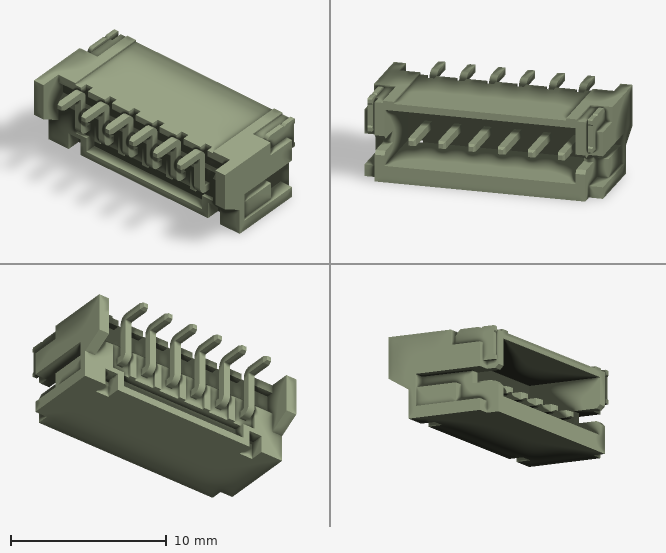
import cadquery as cq


housing_width = 16.0
body_depth = 6.1
ear_depth = 7.58
ear_width = 0.8
ear_slope_top = 2.8
ear_slope_bottom = 1.92
shoulder_z = 5.54
panel_z = 5.4
panel_width = 11.55
half_width = housing_width / 2

cavity_width = 12.8
cavity_depth = 5.2
cavity_floor_z = 1.12
cavity_top_z = 4.93

side_inset = 0.95
back_step_depth = 0.85
slot_bottom_z = 2.06
slot_top_z = 2.9
slot_depth = 1.92
slot_chamfer = 0.24
recess_depth = 5.6
recess_bottom_z = 0.78
latch_start = 2.72
latch_inset = 0.2
side_wall_x = half_width - side_inset

seat_depth = 3.0
seat_z = 4.53
seat_width = 1.49

groove_depth = 5.6
groove_slope_z = 3.84
pin_pocket_depth = 5.8
pin_pocket_width = 1.5
rib_depth = 6.02
pocket_floor_z = 1.57
front_window_width = 9.7
front_window_floor_z = 0.5
front_window_depth = 5.3
foot_notch_offset = 5.84
foot_notch_width = 1.0
foot_notch_height = 1.23
foot_notch_depth = 5.09

pin_count = 6
pin_pitch = 2.0
pin_size = 0.5
pin_tip_size = 0.32
pin_tip_length = 0.3
pin_contact_depth = 1.28
pin_front_depth = 8.6
pin_top_z = 5.6
pin_bottom_z = 2.11
stem_back_depth = 6.27
pin_notch_width = 0.58
pin_inner_radius = 0.08
pin_outer_radius = pin_inner_radius + pin_size

tab_inset = 0.45
tab_thickness = 0.32
tab_depth = 2.9
tab_top_z = pin_top_z
tab_bottom_z = 3.36
tab_bevel_depth = 0.32
tab_bevel_height = 0.45
tab_corner = 0.06
tab_dent_depth = 0.1
tab_dent_bottom_z = 3.73
tab_dent_top_z = 5.17
tab_groove_center = 1.02
tab_groove_half = 0.16
tab_groove_height = 0.1
tab_bevel_radius = 0.27
tab_outer_x = half_width - tab_inset
tab_inner_x = tab_outer_x - tab_thickness

pin_positions = [(i - (pin_count - 1) / 2) * pin_pitch for i in range(pin_count)]


def block(x_span, depth_span, z_span):
    """Box given by its limits in X, depth and Z."""
    x0, x1 = x_span
    d0, d1 = depth_span
    z0, z1 = z_span
    return cq.Workplane("XY").box(x1 - x0, d1 - d0, z1 - z0, centered=False).translate((x0, -d1, z0))


def centered(width, x=0):
    """Limits in X of a feature centred on x."""
    return (x - width / 2, x + width / 2)


def profile(points, x_span):
    """Side outline of (depth, z) points extruded between two X limits."""
    x0, x1 = x_span
    outline = [(-depth, z) for depth, z in points]
    return cq.Workplane("YZ").polyline(outline).close().extrude(x1 - x0).translate((x0, 0, 0))


def both_sides(shape):
    """Shape together with its mirror image across the centre plane X = 0."""
    return shape.union(shape.mirror("YZ"))


def round_edge(shape, depth, z, radius, x=0):
    """Fillet the edge along X whose middle lies at the given x, depth and z."""
    return shape.edges(cq.NearestToPointSelector((x, -depth, z))).fillet(radius)


def housing_shell():
    """Outer body with ears, lowered top panel and mating cavity."""
    shell = block(centered(housing_width), (0, body_depth), (0, shoulder_z))
    ear = profile(
        [
            (body_depth, shoulder_z),
            (ear_depth, shoulder_z),
            (ear_depth, ear_slope_top),
            (body_depth, ear_slope_bottom),
        ],
        (half_width - ear_width, half_width),
    )
    shell = shell.union(both_sides(ear))
    shell = shell.cut(block(centered(panel_width), (0, body_depth), (panel_z, shoulder_z)))
    return shell.cut(block(centered(cavity_width), (0, cavity_depth), (cavity_floor_z, cavity_top_z)))


def side_cuts():
    """Material removed from the +X side wall."""
    outside = (side_wall_x, half_width)
    cuts = block(outside, (0, back_step_depth), (0, shoulder_z))

    recess = block(outside, (0, recess_depth), (recess_bottom_z, slot_top_z))
    latch = block(
        (side_wall_x, half_width - latch_inset),
        (latch_start, recess_depth),
        (recess_bottom_z, slot_bottom_z),
    )
    cuts = cuts.union(recess.cut(latch))

    slot = profile(
        [
            (0, slot_bottom_z - slot_chamfer),
            (slot_chamfer, slot_bottom_z),
            (slot_depth, slot_bottom_z),
            (slot_depth, slot_top_z),
            (slot_chamfer, slot_top_z),
            (0, slot_top_z + slot_chamfer),
        ],
        (cavity_width / 2, half_width),
    )
    cuts = cuts.union(slot)

    cuts = cuts.union(block((tab_inner_x, half_width), (0, seat_depth), (seat_z, shoulder_z)))
    return cuts.union(block((half_width - seat_width, half_width), (0, seat_depth), (panel_z, shoulder_z)))


def front_cuts():
    """Groove, pin pockets, window and notches cut into the front face."""
    slope_drop = body_depth - groove_depth
    cuts = profile(
        [
            (groove_depth, cavity_top_z),
            (body_depth, cavity_top_z),
            (body_depth, groove_slope_z - slope_drop),
            (groove_depth, groove_slope_z),
        ],
        centered(housing_width - 2 * ear_width),
    )
    pin_row_width = (pin_count - 1) * pin_pitch + pin_pocket_width
    cuts = cuts.union(
        block(centered(pin_row_width), (rib_depth, body_depth), (pocket_floor_z, groove_slope_z))
    )
    for x in pin_positions:
        pocket = block(
            centered(pin_pocket_width, x),
            (pin_pocket_depth, body_depth),
            (pocket_floor_z, groove_slope_z),
        )
        notch = block(
            centered(pin_notch_width, x),
            (groove_depth, body_depth),
            (cavity_top_z, panel_z),
        )
        cuts = cuts.union(pocket).union(notch)
    window = block(
        centered(front_window_width),
        (front_window_depth, body_depth),
        (front_window_floor_z, pocket_floor_z),
    )
    foot_notch = block(
        centered(foot_notch_width, foot_notch_offset),
        (foot_notch_depth, body_depth),
        (0, foot_notch_height),
    )
    return cuts.union(window).union(both_sides(foot_notch))


def tapered_tip(base_depth, z, direction):
    """Square pin tip; direction is +1 toward the mating face, -1 away from it."""
    base = cq.Plane(origin=(0, -base_depth, z), xDir=(1, 0, 0), normal=(0, direction, 0))
    return (
        cq.Workplane(base)
        .rect(pin_size, pin_size)
        .workplane(offset=pin_tip_length)
        .rect(pin_tip_size, pin_tip_size)
        .loft(ruled=True)
    )


def pin():
    """Contact leg, stem and solder leg, joined by two rounded bends."""
    contact_start = pin_contact_depth + pin_tip_length
    solder_end = pin_front_depth - pin_tip_length
    stem_front_depth = stem_back_depth + pin_size
    half_pin = pin_size / 2
    across = centered(pin_size)

    contact = block(across, (contact_start, stem_front_depth), (pin_bottom_z, pin_bottom_z + pin_size))
    stem = block(across, (stem_back_depth, stem_front_depth), (pin_bottom_z, pin_top_z))
    solder = block(across, (stem_back_depth, solder_end), (pin_top_z - pin_size, pin_top_z))
    body = contact.union(stem).union(solder)
    body = round_edge(body, stem_front_depth, pin_bottom_z, pin_outer_radius)
    body = round_edge(body, stem_back_depth, pin_bottom_z + pin_size, pin_inner_radius)
    body = round_edge(body, stem_back_depth, pin_top_z, pin_outer_radius)
    body = round_edge(body, stem_front_depth, pin_top_z - pin_size, pin_inner_radius)
    body = body.union(tapered_tip(contact_start, pin_bottom_z + half_pin, 1))
    return body.union(tapered_tip(solder_end, pin_top_z - half_pin, -1))


def solder_tab():
    """Flat metal tab standing in the seat on the +X side."""
    tab = profile(
        [
            (0, tab_bottom_z),
            (0, tab_dent_bottom_z - tab_dent_depth),
            (tab_dent_depth, tab_dent_bottom_z),
            (tab_dent_depth, tab_dent_top_z),
            (0, tab_dent_top_z + tab_dent_depth),
            (0, tab_top_z - tab_corner),
            (tab_corner, tab_top_z),
            (tab_groove_center - tab_groove_half, tab_top_z),
            (tab_groove_center, tab_top_z - tab_groove_height),
            (tab_groove_center + tab_groove_half, tab_top_z),
            (tab_depth - tab_bevel_depth, tab_top_z),
            (tab_depth, tab_top_z - tab_bevel_height),
            (tab_depth, seat_z),
            (back_step_depth, seat_z),
            (back_step_depth, tab_bottom_z),
        ],
        (tab_inner_x, tab_outer_x),
    )
    tab_middle_x = (tab_inner_x + tab_outer_x) / 2
    return round_edge(tab, tab_depth - tab_bevel_depth, tab_top_z, tab_bevel_radius, tab_middle_x)


housing = housing_shell().cut(both_sides(side_cuts())).cut(front_cuts())
result = housing.union(both_sides(solder_tab()))
for pin_x in pin_positions:
    result = result.union(pin().translate((pin_x, 0, 0)))